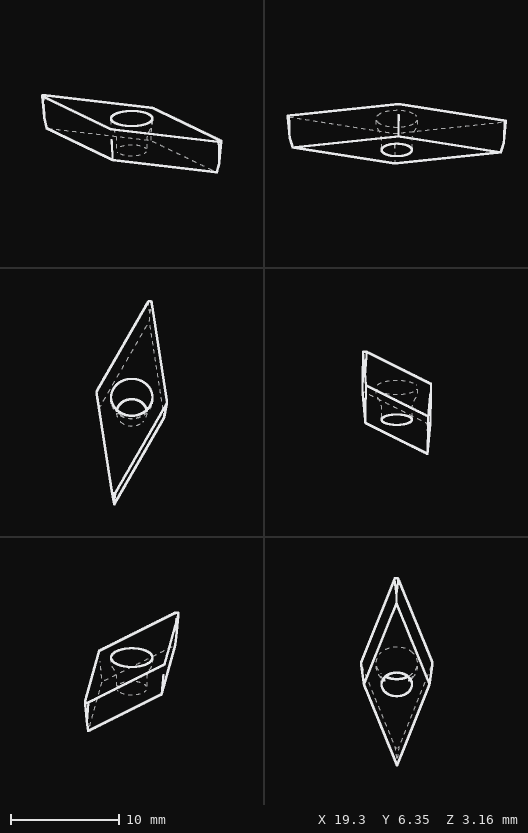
import cadquery as cq
import math

length = 19.28
width = 6.35
thickness = 3.16
nose_angle = math.radians(35)
relief_angle = math.radians(5)
corner_radius = 0.2

bore_radius = 2.8 / 2
mouth_radius = 1.9
mouth_depth = 0.55
blend_radius = 0.4
seat_angle = math.radians(35)

half_width = width / 2
nose_x = length / 2 - corner_radius + corner_radius / math.tan(nose_angle / 2)
blunt_x = nose_x - width / math.tan(nose_angle)
corners = [
    (-nose_x, -half_width),
    (blunt_x, -half_width),
    (nose_x, half_width),
    (-blunt_x, half_width),
]


def make_sharp_body():
    """Tapered rhombic block with its top face at z = thickness."""
    top = cq.Workplane("XY").workplane(offset=thickness).polyline(corners).close()
    return top.extrude(-thickness, taper=math.degrees(relief_angle))


def corner_waste(corner, angle, towards_middle):
    """Material outside a corner's cone, whose radius shrinks to nothing at the relief angle."""
    cone_depth = corner_radius / math.tan(relief_angle)
    apex_z = thickness - cone_depth
    tip_x, tip_y = corner
    centre_distance = corner_radius / math.sin(angle / 2)
    tangent_length = corner_radius / math.tan(angle / 2)

    def from_tip(distance, turn):
        direction = towards_middle + turn
        return (tip_x + distance * math.cos(direction), tip_y + distance * math.sin(direction))

    centre = from_tip(centre_distance, 0)
    kite = [corner, from_tip(tangent_length, angle / 2), centre, from_tip(tangent_length, -angle / 2)]
    wedge = cq.Workplane("XY").workplane(offset=apex_z).polyline(kite).close().extrude(cone_depth)
    cone = cq.Solid.makeCone(0, corner_radius, cone_depth, pnt=cq.Vector(*centre, apex_z))
    return wedge.cut(cq.Workplane(cone))


def make_hole():
    """Revolved cutter for the stepped screw hole."""
    mouth_z = thickness - mouth_depth
    blend_middle = (
        mouth_radius - blend_radius * (1 - math.cos(seat_angle / 2)),
        mouth_z - blend_radius * math.sin(seat_angle / 2),
    )
    seat_top_radius = mouth_radius - blend_radius * (1 - math.cos(seat_angle))
    seat_top_z = mouth_z - blend_radius * math.sin(seat_angle)
    seat_curve = (seat_top_radius - bore_radius) / (1 - math.cos(seat_angle))
    seat_end_z = seat_top_z - seat_curve * math.sin(seat_angle)
    seat_middle = (
        bore_radius + seat_curve * (1 - math.cos(seat_angle / 2)),
        seat_end_z + seat_curve * math.sin(seat_angle / 2),
    )
    profile = (
        cq.Workplane("XZ")
        .moveTo(0, thickness)
        .lineTo(mouth_radius, thickness)
        .lineTo(mouth_radius, mouth_z)
        .threePointArc(blend_middle, (seat_top_radius, seat_top_z))
        .threePointArc(seat_middle, (bore_radius, seat_end_z))
        .lineTo(bore_radius, 0)
        .lineTo(0, 0)
        .close()
    )
    return profile.revolve(360, (0, 0, 0), (0, 1, 0))


nose_direction = nose_angle / 2
blunt_angle = math.pi - nose_angle
blunt_direction = nose_direction + math.pi / 2

corner_cutters = [
    corner_waste(corners[0], nose_angle, nose_direction),
    corner_waste(corners[1], blunt_angle, blunt_direction),
]

result = make_sharp_body()
for cutter in corner_cutters:
    for turn in (0, 180):
        result = result.cut(cutter.rotate((0, 0, 0), (0, 0, 1), turn))
result = result.cut(make_hole())